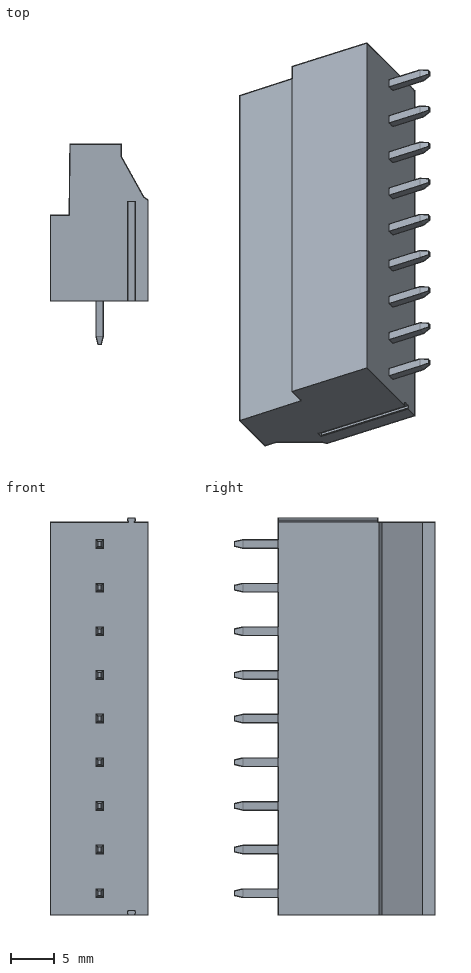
import cadquery as cq

total_height = 45.5
rail_height = 0.5
housing_height = total_height - rail_height
housing_width = 11.2
housing_depth = 17.95

step_depth = 9.85
neck_left_base = 2.15
neck_left_back = 2.25
neck_right = 8.15
slope_back = 16.5
slope_front = 11.9
slope_front_x = 10.7
corner_depth = 11.55

rail_center = 9.3
rail_length = 11.4
rail_max_width = 0.95
rail_crest_width = 0.77
rail_root_width = 0.7

pin_count = 9
pin_pitch = housing_height / pin_count
pin_x = 5.65
pin_length = 5.0
pin_width = 0.85
pin_height = 1.0
tip_length = 0.95
tip_width = 0.35
tip_height = 0.55


def make_housing():
    return (
        cq.Workplane("XY")
        .moveTo(0, 0)
        .lineTo(housing_width, 0)
        .lineTo(housing_width, corner_depth)
        .lineTo(slope_front_x, slope_front)
        .lineTo(neck_right, slope_back)
        .lineTo(neck_right, housing_depth)
        .lineTo(neck_left_back, housing_depth)
        .lineTo(neck_left_base, step_depth)
        .lineTo(0, step_depth)
        .close()
        .extrude(housing_height)
    )


def make_rail(base_z):
    """Bar along Y with a six-sided section that is widest at half height."""
    half_root = rail_root_width / 2
    half_crest = rail_crest_width / 2
    half_max = rail_max_width / 2
    section = [
        (-half_root, 0),
        (half_root, 0),
        (half_max, rail_height / 2),
        (half_crest, rail_height),
        (-half_crest, rail_height),
        (-half_max, rail_height / 2),
    ]
    return (
        cq.Workplane("XZ", origin=(rail_center, 0, base_z))
        .polyline(section)
        .close()
        .extrude(-rail_length)
    )


def make_pin(center_z):
    """Rectangular pin pointing to -Y, with a tapered tip."""
    shank_length = pin_length - tip_length
    shank = (
        cq.Workplane("XZ", origin=(pin_x, 0, center_z))
        .rect(pin_width, pin_height)
        .extrude(shank_length)
    )
    tip = (
        cq.Workplane("XZ", origin=(pin_x, -shank_length, center_z))
        .rect(pin_width, pin_height)
        .workplane(offset=tip_length)
        .rect(tip_width, tip_height)
        .loft(ruled=True)
    )
    return shank.union(tip)


rail = make_rail(housing_height)
groove = make_rail(0)

result = make_housing().union(rail).cut(groove)
for index in range(pin_count):
    result = result.union(make_pin((index + 0.5) * pin_pitch))